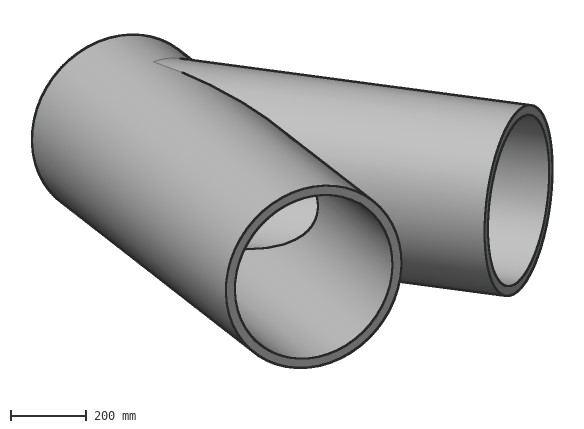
import cadquery as cq
import math

outer_diameter = 508.0
bore_diameter = 455.0

run_length = 1245.0

branch_angle = 45.0
branch_offset = 217.0
branch_length = 1029.0

branch_direction = cq.Vector(
    math.cos(math.radians(branch_angle)),
    math.sin(math.radians(branch_angle)),
    0,
)


def wye(diameter):
    """Solid run and branch cylinders of one diameter, joined."""
    radius = diameter / 2
    run = cq.Solid.makeCylinder(radius, run_length, cq.Vector(0, 0, 0), cq.Vector(1, 0, 0))
    axis_crossing = cq.Vector(branch_offset, 0, 0)
    branch = cq.Solid.makeCylinder(radius, branch_length, axis_crossing, branch_direction)
    return cq.Workplane(obj=run).union(cq.Workplane(obj=branch))


result = wye(outer_diameter).cut(wye(bore_diameter))